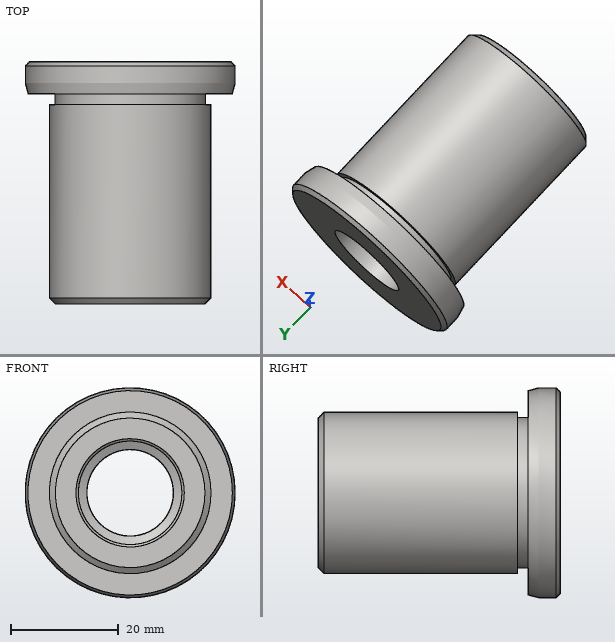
import cadquery as cq
import math

total_length = 45.0
head_diameter = 39.0
head_thickness = 6.0
head_back_chamfer = 0.8
head_taper_length = 2.0
head_taper_angle = 15.0
neck_diameter = 28.0
neck_length = 2.0
body_diameter = 30.0
body_chamfer = 1.12

bore_diameter = 16.0
relief_diameter = 19.2
relief_depth = 20.0
relief_chamfer = 0.45
relief_tip_angle = 118.0

head_radius = head_diameter / 2
neck_radius = neck_diameter / 2
body_radius = body_diameter / 2
bore_radius = bore_diameter / 2
relief_radius = relief_diameter / 2

head_start = total_length - head_thickness
neck_start = head_start - neck_length
head_taper_drop = head_taper_length * math.tan(math.radians(head_taper_angle))
relief_cone_length = (relief_radius - bore_radius) / math.tan(math.radians(relief_tip_angle / 2))

outside = [
    (body_radius - body_chamfer, 0),
    (body_radius, body_chamfer),
    (body_radius, neck_start),
    (neck_radius, neck_start),
    (neck_radius, head_start),
    (head_radius - head_taper_drop, head_start),
    (head_radius, head_start + head_taper_length),
    (head_radius, total_length - head_back_chamfer),
    (head_radius - head_back_chamfer, total_length),
]
inside = [
    (bore_radius, total_length),
    (bore_radius, relief_depth + relief_cone_length),
    (relief_radius, relief_depth),
    (relief_radius, relief_chamfer),
    (relief_radius + relief_chamfer, 0),
]

result = cq.Workplane("XY").polyline(outside + inside).close().revolve(360, (0, 0, 0), (0, 1, 0))